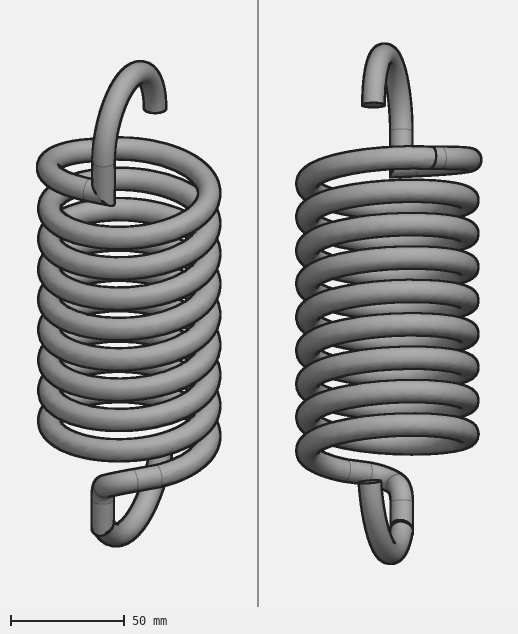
import cadquery as cq
import math

TOTAL_HEIGHT = 232.5

WIRE_DIAMETER = 10.0
COIL_RADIUS = 35.0
COIL_PITCH = 1.5 * WIRE_DIAMETER
COIL_START_ANGLE = -45.0
COIL_END_ANGLE = 135.0
COIL_FULL_TURNS = 8
COIL_START_Z = 47.9

HOOK_OFFSET = 28.0
LOOP_RADIUS = 29.3
LOOP_CENTER_X = -7.5
LOOP_END_Z = 184.0

LEAD_OUT_LENGTH = 22.8
LOWER_CORNER_DROP = 5.8
BOTTOM_POST_Y = -28.8
BOTTOM_POST_TOP_Z = 33.2
BOTTOM_HOOK_RADIUS = 36.3
BOTTOM_HOOK_CENTER_Y = 1.2
BOTTOM_HOOK_END_ANGLE = -20.0

WIRE_RADIUS = WIRE_DIAMETER / 2
TOP_HOOK_Z = TOTAL_HEIGHT - HOOK_OFFSET - WIRE_RADIUS
BOTTOM_HOOK_CENTER_Z = BOTTOM_HOOK_RADIUS + WIRE_RADIUS
COIL_TURNS = COIL_FULL_TURNS + (COIL_END_ANGLE - COIL_START_ANGLE) / 360
COIL_HEIGHT = COIL_TURNS * COIL_PITCH
COIL_END_Z = COIL_START_Z + COIL_HEIGHT


def circle_point(radius, angle):
    """Offsets of a point on a circle, the angle in degrees."""
    return radius * math.cos(math.radians(angle)), radius * math.sin(math.radians(angle))


COIL_START = cq.Vector(*circle_point(COIL_RADIUS, COIL_START_ANGLE), COIL_START_Z)
COIL_END = cq.Vector(*circle_point(COIL_RADIUS, COIL_END_ANGLE), COIL_END_Z)


def sweep_wire(edges, start, direction):
    """Round wire along smoothly joined edges."""
    path = cq.Workplane(cq.Wire.assembleEdges(edges))
    return cq.Workplane(cq.Plane(origin=start, normal=direction)).circle(WIRE_RADIUS).sweep(path)


def half_space(origin, normal):
    """Block ahead of a plane, large enough to trim the wire there."""
    trim_size = 4 * WIRE_DIAMETER
    return cq.Workplane(cq.Plane(origin=origin, normal=normal)).rect(trim_size, trim_size).extrude(trim_size)


def bend_between(corner, incoming, outgoing, setback):
    """Arc that rounds a corner; it starts and ends one setback from the sharp corner."""
    start = corner - incoming * setback
    end = corner + outgoing * setback
    bisector = (outgoing - incoming).normalized()
    half_turn = incoming.getAngle(outgoing) / 2
    radius = setback / math.tan(half_turn)
    middle = corner + bisector * (radius / math.cos(half_turn) - radius)
    return cq.Edge.makeThreePointArc(start, middle, end)


def make_coil():
    helix = cq.Wire.makeHelix(COIL_PITCH, COIL_HEIGHT, COIL_RADIUS)
    section = cq.Workplane("XZ", origin=(COIL_RADIUS, 0, 0)).circle(WIRE_RADIUS)
    coil = section.sweep(cq.Workplane(helix), isFrenet=True)
    return coil.rotate((0, 0, 0), (0, 0, 1), COIL_START_ANGLE).translate((0, 0, COIL_START_Z))


def make_lower_hook():
    down = cq.Vector(0, 0, -1)
    lead_direction = cq.Vector(*circle_point(1, COIL_START_ANGLE - 90), 0)
    post_top = cq.Vector(0, BOTTOM_POST_Y, BOTTOM_POST_TOP_Z)
    upper_corner = COIL_START + lead_direction * LEAD_OUT_LENGTH
    lower_corner = post_top - down * LOWER_CORNER_DROP
    slant = lower_corner - upper_corner
    slant_direction = slant.normalized()
    upper_setback = slant.Length - LOWER_CORNER_DROP
    lead = cq.Edge.makeLine(COIL_START, upper_corner - lead_direction * upper_setback)
    upper_bend = bend_between(upper_corner, lead_direction, slant_direction, upper_setback)
    lower_bend = bend_between(lower_corner, slant_direction, down, LOWER_CORNER_DROP)
    neck = sweep_wire([lead, upper_bend, lower_bend], COIL_START, lead_direction)

    hook_start_angle = -180 + math.degrees(
        math.acos((BOTTOM_HOOK_CENTER_Y - BOTTOM_POST_Y) / BOTTOM_HOOK_RADIUS)
    )

    def hook_point(angle):
        across, up = circle_point(BOTTOM_HOOK_RADIUS, angle)
        return cq.Vector(0, BOTTOM_HOOK_CENTER_Y + across, BOTTOM_HOOK_CENTER_Z + up)

    hook_start = hook_point(hook_start_angle)
    hook_direction = cq.Vector(0, *circle_point(1, hook_start_angle + 90))
    hook = cq.Edge.makeThreePointArc(hook_start, hook_point(-90), hook_point(BOTTOM_HOOK_END_ANGLE))
    post = cq.Edge.makeLine(post_top, hook_start + down * WIRE_DIAMETER)
    hook_wire = sweep_wire([hook], hook_start, hook_direction)
    post_wire = sweep_wire([post], post_top, down).cut(half_space(hook_start, hook_direction))
    return neck.union(post_wire).union(hook_wire)


def make_spring():
    return make_coil().union(make_lower_hook())


def make_top_hook():
    corner = cq.Vector(0, -HOOK_OFFSET, LOOP_END_Z)
    corner_to_coil = COIL_END - corner
    sideways = cq.Vector(1, 0, 0)
    slope = cq.Vector(0, corner_to_coil.y, corner_to_coil.z)
    loop_plane = cq.Plane(origin=corner, xDir=sideways, normal=sideways.cross(slope))

    def loop_point(angle):
        x, y = circle_point(LOOP_RADIUS, angle)
        return loop_plane.toWorldCoords((LOOP_CENTER_X + x, LOOP_RADIUS + y))

    coil_end_x = corner_to_coil.x - LOOP_CENTER_X
    coil_end_y = slope.Length - LOOP_RADIUS
    coil_end_angle = math.degrees(math.atan2(coil_end_y, coil_end_x))
    coil_end_distance = math.hypot(coil_end_x, coil_end_y)
    loop_start_angle = coil_end_angle + math.degrees(math.acos(LOOP_RADIUS / coil_end_distance))

    loop_start = loop_point(loop_start_angle)
    loop_middle = loop_point((loop_start_angle + 270) / 2)
    loop_end = loop_point(270)
    lead_direction = (loop_start - COIL_END).normalized()
    lead_start = COIL_END - lead_direction * WIRE_RADIUS
    lead = cq.Edge.makeLine(lead_start, loop_start)
    loop = cq.Edge.makeThreePointArc(loop_start, loop_middle, loop_end)

    post_top = cq.Vector(0, -HOOK_OFFSET, TOP_HOOK_Z)
    hook_top = cq.Vector(0, 0, TOP_HOOK_Z + HOOK_OFFSET)
    hook_end = cq.Vector(0, HOOK_OFFSET, TOP_HOOK_Z)
    hook = cq.Edge.makeThreePointArc(post_top, hook_top, hook_end)
    up = cq.Vector(0, 0, 1)
    post_start = corner - up * WIRE_DIAMETER
    loop_run = cq.Edge.makeLine(loop_end, corner + sideways * WIRE_DIAMETER)
    post = cq.Edge.makeLine(post_start, post_top)
    loop_wire = sweep_wire([lead, loop, loop_run], lead_start, lead_direction)
    coil_end_direction = cq.Vector(*circle_point(1, COIL_END_ANGLE + 90), 0)
    loop_wire = loop_wire.cut(half_space(COIL_END, -coil_end_direction))
    hook_wire = sweep_wire([post, hook], post_start, up)
    mitre_normal = sideways + up
    trimmed_loop = loop_wire.cut(half_space(corner, mitre_normal))
    trimmed_hook = hook_wire.cut(half_space(corner, -mitre_normal))
    return trimmed_loop.union(trimmed_hook)


spring = make_spring()
top_hook = make_top_hook()

result = cq.Compound.makeCompound([spring.solids().val(), top_hook.solids().val()])